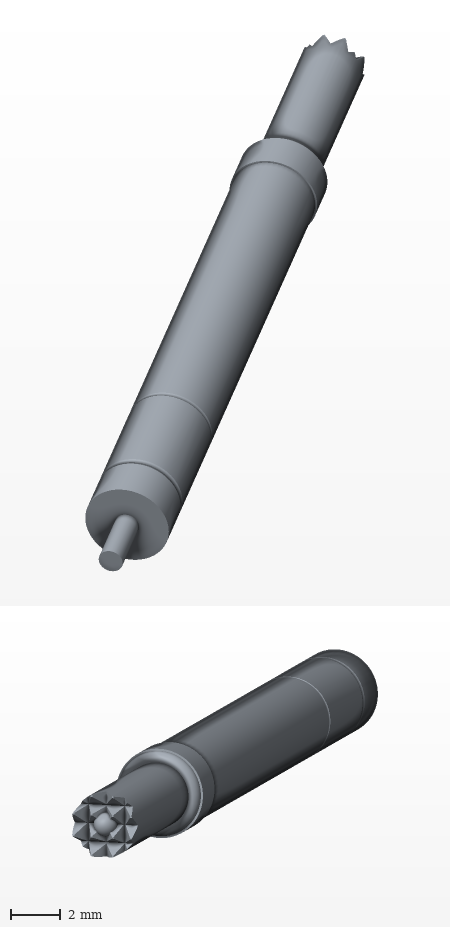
import cadquery as cq

total_length = 34.5
pin_length = 2.52
collar_start = 25.08
collar_end = 26.67
nose_end = 27.0

pin_diameter = 1.0
barrel_diameter = 3.5
collar_diameter = 3.65
plunger_diameter = 2.65

nose_fillet = nose_end - collar_end

ring_groove_depth = 0.1
ring_grooves = ((9.0, 9.1, 9.2), (4.3, 4.52, 4.62))

middle_half_width = 0.4
middle_depth = 0.6
side_inner_edge = 0.5
side_valley = 0.75
side_outer_edge = 1.17
side_depth = 0.65
post_radius = 0.5

overlap = 0.35


def rod(diameter, start, end):
    """Solid cylinder on the Y axis between two Y positions."""
    return cq.Workplane("XZ", origin=(0, start, 0)).circle(diameter / 2).extrude(start - end)


def make_nose():
    """Shoulder ahead of the collar with its front edge rounded."""
    return rod(barrel_diameter, collar_end - overlap, nose_end).faces(">Y").edges().fillet(nose_fillet)


def ring_groove(rear, bottom, front):
    """Cutter for one V-shaped groove around the barrel."""
    outer = barrel_diameter / 2
    profile = [
        (outer - ring_groove_depth, bottom),
        (outer, front),
        (outer + overlap, front),
        (outer + overlap, rear),
        (outer, rear),
    ]
    return cq.Workplane("XY").polyline(profile).close().revolve(360, (0, 0, 0), (0, 1, 0))


def crown_groove(left_edge, valley, right_edge, depth):
    """Cutter for one straight V-groove across the plunger tip, running along Z."""
    profile = [
        (left_edge, total_length),
        (valley, total_length - depth),
        (right_edge, total_length),
    ]
    return cq.Workplane("XY").polyline(profile).close().extrude(plunger_diameter, both=True)


def make_center_post():
    """Round post with a hemispherical end, rising to the height of the crown teeth."""
    dome_center = total_length - post_radius
    dome = cq.Workplane("XY", origin=(0, dome_center, 0)).sphere(post_radius, direct=(0, 1, 0))
    return rod(2 * post_radius, total_length - side_depth - overlap, dome_center).union(dome)


def make_plunger():
    """Plunger rod whose tip is cut into crown teeth in both directions."""
    plunger = rod(plunger_diameter, nose_end - overlap, total_length)
    grooves = [
        crown_groove(-side_outer_edge, -side_valley, -side_inner_edge, side_depth),
        crown_groove(-middle_half_width, 0, middle_half_width, middle_depth),
        crown_groove(side_inner_edge, side_valley, side_outer_edge, side_depth),
    ]
    for groove in grooves:
        plunger = plunger.cut(groove)
        plunger = plunger.cut(groove.rotate((0, 0, 0), (0, 1, 0), 90))
    return plunger.union(make_center_post())


barrel = rod(barrel_diameter, pin_length, collar_end)
for rear, bottom, front in ring_grooves:
    barrel = barrel.cut(ring_groove(rear, bottom, front))

probe = (
    rod(pin_diameter, 0, pin_length + overlap)
    .union(barrel)
    .union(rod(collar_diameter, collar_start, collar_end))
    .union(make_nose())
    .union(make_plunger())
)

result = probe.translate((0, -total_length / 2, 0))